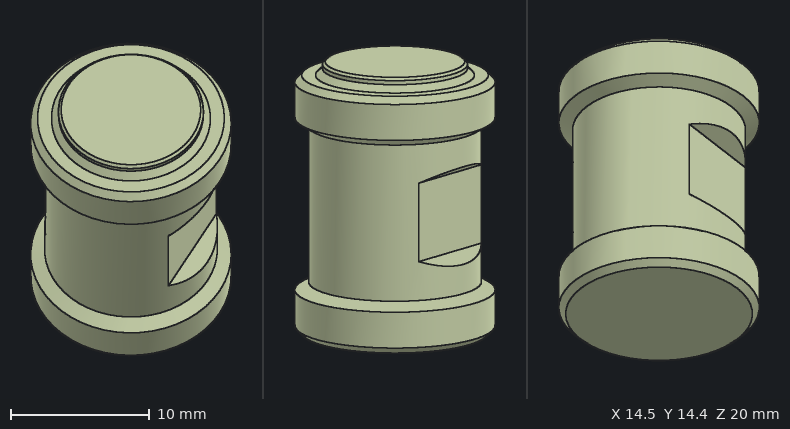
import cadquery as cq
import math

collar_diameter = 14.45
neck_diameter = 12.45
cap_diameter = 10.45
total_height = 20.0
cap_height = 1.0
cap_root_flare = 0.5
cap_edge_chamfer = 0.2
collar_edge_chamfer = 0.5
collar_length = 3.15
shoulder_angle = 30.0
flat_distance = 10.0
flat_length = 5.8

collar_radius = collar_diameter / 2
neck_radius = neck_diameter / 2
cap_radius = cap_diameter / 2
slope = math.tan(math.radians(shoulder_angle))
shoulder_height = (collar_radius - neck_radius) * slope
body_height = total_height - cap_height
body_middle = body_height / 2


def turned_body():
    """Spool with two chamfered collars and a stepped cap, revolved about Z."""
    profile = [
        (0, 0),
        (collar_radius - collar_edge_chamfer, 0),
        (collar_radius, collar_edge_chamfer),
        (collar_radius, collar_length),
        (neck_radius, collar_length + shoulder_height),
        (neck_radius, body_height - collar_length - shoulder_height),
        (collar_radius, body_height - collar_length),
        (collar_radius, body_height - collar_edge_chamfer),
        (collar_radius - collar_edge_chamfer, body_height),
        (cap_radius + cap_root_flare, body_height),
        (cap_radius, body_height + cap_root_flare),
        (cap_radius, total_height - cap_edge_chamfer),
        (cap_radius - cap_edge_chamfer, total_height),
        (0, total_height),
    ]
    return cq.Workplane("XZ").polyline(profile).close().revolve(360, (0, 0), (0, 1))


def flat_cutter(side):
    """Trapezoidal prism that mills one flat with sloped ends; side is -1 or +1."""
    inner_x = flat_distance / 2
    outer_x = collar_radius
    inner_half = flat_length / 2
    outer_half = inner_half + (outer_x - inner_x) * slope
    outline = [
        (side * inner_x, body_middle - inner_half),
        (side * outer_x, body_middle - outer_half),
        (side * outer_x, body_middle + outer_half),
        (side * inner_x, body_middle + inner_half),
    ]
    return cq.Workplane("XZ").polyline(outline).close().extrude(collar_radius, both=True)


result = turned_body()
for side in (-1, 1):
    result = result.cut(flat_cutter(side))